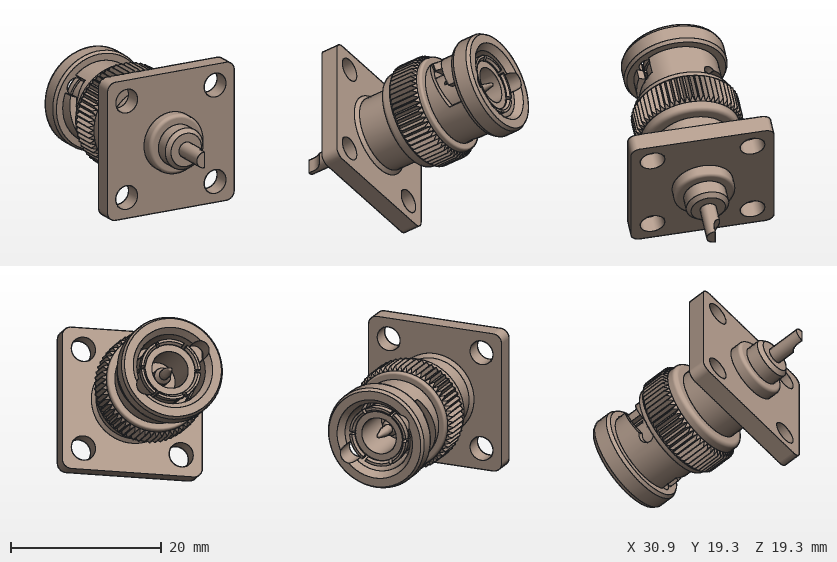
import cadquery as cq
import math


total_length = 30.9
flange_side = 19.3
flange_start = 19.55
flange_end = 22.0
flange_corner_radius = 1.25
mount_hole_diameter = 3.3
mount_hole_offset = 6.75
neck_diameter = 10.32
neck_flare = 0.5
boss_diameter = 8.22
boss_end = 23.7
boss_fillet = 0.45
insulator_diameter = 5.75
insulator_end = 26.1
insulator_chamfer = 0.55
terminal_diameter = 2.2
terminal_flat_y = 0.05
terminal_flat_start = 30.13
terminal_scoop_radius = 1.82

plug_start = 8.65
sleeve_diameter = 7.6
sleeve_lip_diameter = 8.15
sleeve_lip_end = 1.85
sleeve_start = 0.93
sleeve_mouth_diameter = 7.48
sleeve_cone_end = 1.25
insulator_face = 1.4
sleeve_bore_diameter = 6.85
slit_count = 6
slit_width = 0.45
slit_end = 6.18
socket_diameter = 5.0
socket_end = 7.72
pin_start = 1.08
pin_tip_diameter = 0.53
pin_diameter = 1.3
pin_taper_end = 3.15
pin_base_diameter = 2.22
pin_shoulder_start = 4.33
pin_shoulder_end = 4.95

rim_diameter = 13.9
rim_length = 3.03
rim_chamfer_length = 0.5
rim_chamfer_depth = 0.28
barrel_diameter = 11.43
nut_bore_diameter = 9.45
nut_mouth_diameter = 10.95
nut_mouth_depth = 0.93
collar_diameter = 13.38
collar_start = 7.97
collar_front_fillet = 0.3
nut_end = 14.55
collar_rear_fillet = 0.62
knurl_diameter = 14.5
knurl_start = 8.7
knurl_end = 13.13
tooth_count = 60
tooth_land = 0.05

slot_count = 2
slot_entry_angle = 144.5
slot_half_angle = 13.9
slot_straight_end = 4.48
slot_width_along_axis = 1.75
slot_twist_rate = 36.25
slot_stop_angle = 218.6
entry_groove_diameter = 2.5
entry_groove_radius = 4.6
latch_hole_diameter = 2.1
latch_hole_x = 6.9
latch_hole_angle = 226.6


def revolved(profile):
    """Solid of revolution about X from a workplane holding a closed (x, radius) outline."""
    return profile.close().revolve(360, (0, 0, 0), (1, 0, 0))


def cylinder(start, end, diameter):
    return cq.Workplane("YZ", origin=(start, 0, 0)).circle(diameter / 2).extrude(end - start)


def about_axis(shape, angle):
    return shape.rotate((0, 0, 0), (1, 0, 0), angle)


def polar(radius, angle):
    return (radius * math.cos(math.radians(angle)), radius * math.sin(math.radians(angle)))


def flange():
    plate = (
        cq.Workplane("YZ", origin=(flange_start, 0, 0))
        .rect(flange_side, flange_side)
        .extrude(flange_end - flange_start)
        .edges("|X")
        .fillet(flange_corner_radius)
    )
    holes = (
        cq.Workplane("YZ", origin=(flange_start, 0, 0))
        .rect(2 * mount_hole_offset, 2 * mount_hole_offset, forConstruction=True)
        .vertices()
        .circle(mount_hole_diameter / 2)
        .extrude(flange_end - flange_start)
    )
    return plate.cut(holes)


def front_stem():
    """Contact sleeve, plug seated in the nut, neck and its flare up to the flange."""
    neck_radius = neck_diameter / 2
    return revolved(
        cq.Workplane("XY")
        .moveTo(insulator_face, 0)
        .lineTo(insulator_face, sleeve_bore_diameter / 2)
        .lineTo(sleeve_cone_end, sleeve_bore_diameter / 2)
        .lineTo(sleeve_start, sleeve_mouth_diameter / 2)
        .lineTo(sleeve_start, sleeve_lip_diameter / 2)
        .lineTo(sleeve_lip_end, sleeve_lip_diameter / 2)
        .lineTo(sleeve_lip_end, sleeve_diameter / 2)
        .lineTo(plug_start, sleeve_diameter / 2)
        .lineTo(plug_start, nut_bore_diameter / 2)
        .lineTo(nut_end, nut_bore_diameter / 2)
        .lineTo(nut_end, neck_radius)
        .lineTo(flange_start - neck_flare, neck_radius)
        .lineTo(flange_start, neck_radius + neck_flare)
        .lineTo(flange_start, 0)
    )


def rear_stem():
    boss = cylinder(flange_end, boss_end, boss_diameter).faces(">X").edges().fillet(boss_fillet)
    insulator = (
        cylinder(boss_end, insulator_end, insulator_diameter)
        .faces(">X")
        .edges()
        .chamfer(insulator_chamfer)
    )
    return boss.union(insulator)


def terminal():
    """Solder terminal with its +Y half scooped away at the end."""
    scoop_center_y = terminal_flat_y + terminal_scoop_radius
    scoop = (
        cq.Workplane("XY")
        .center(terminal_flat_start, scoop_center_y)
        .circle(terminal_scoop_radius)
        .extrude(terminal_diameter, both=True)
    )
    flat_cut = cq.Workplane("XY").box(
        total_length - terminal_flat_start,
        terminal_diameter,
        terminal_diameter,
        centered=(False, False, True),
    ).translate((terminal_flat_start, terminal_flat_y, 0))
    return cylinder(insulator_end, total_length, terminal_diameter).cut(scoop).cut(flat_cut)


def sleeve_slits():
    """Equally spaced slits through the sleeve wall, stopping at the insulator."""
    slits = cq.Workplane("XY")
    for index in range(slit_count):
        slit = cq.Workplane("XY").box(
            slit_end - sleeve_start,
            sleeve_lip_diameter,
            slit_width,
            centered=(False, False, True),
        ).translate((sleeve_start, 0, 0))
        slits = slits.union(about_axis(slit, index * 360 / slit_count))
    return slits.cut(cylinder(sleeve_start, slit_end, sleeve_bore_diameter))


def center_pin():
    """Round-nosed tapered pin that widens towards the floor of the socket."""
    nose_radius = pin_tip_diameter / 2
    nose_center = pin_start + nose_radius
    nose_offset = nose_radius * math.sqrt(0.5)
    return revolved(
        cq.Workplane("XY")
        .moveTo(pin_start, 0)
        .threePointArc((nose_center - nose_offset, nose_offset), (nose_center, nose_radius))
        .lineTo(pin_taper_end, pin_diameter / 2)
        .lineTo(pin_shoulder_start, pin_diameter / 2)
        .lineTo(pin_shoulder_end, pin_base_diameter / 2)
        .lineTo(socket_end, pin_base_diameter / 2)
        .lineTo(socket_end, 0)
    )


def connector_body():
    """Body and its centre pin as one solid, with the pin standing on the socket floor."""
    socket = cylinder(insulator_face, socket_end, socket_diameter)
    solid = front_stem().union(flange()).union(rear_stem()).union(terminal())
    return solid.cut(sleeve_slits()).cut(socket).union(center_pin())


def nut_shell():
    rim_radius = rim_diameter / 2
    rim_face_radius = rim_radius - rim_chamfer_depth
    bore_radius = nut_bore_diameter / 2
    barrel = revolved(
        cq.Workplane("XY")
        .moveTo(0, nut_mouth_diameter / 2)
        .lineTo(0, rim_face_radius)
        .lineTo(rim_chamfer_length, rim_radius)
        .lineTo(rim_length - rim_chamfer_length, rim_radius)
        .lineTo(rim_length, rim_face_radius)
        .lineTo(rim_length, barrel_diameter / 2)
        .lineTo(nut_end, barrel_diameter / 2)
        .lineTo(nut_end, bore_radius)
        .lineTo(nut_mouth_depth, bore_radius)
    )
    collar = cylinder(collar_start, nut_end, collar_diameter)
    collar = collar.faces("<X").edges().fillet(collar_front_fillet)
    collar = collar.faces(">X").edges().fillet(collar_rear_fillet)
    return barrel.union(collar.cut(cylinder(collar_start, nut_end, nut_bore_diameter)))


def knurl():
    """Ring of V-shaped teeth, chamfered at both ends down to the collar."""
    pitch_angle = 360 / tooth_count
    tip_radius = knurl_diameter / 2
    land_half_angle = math.degrees(tooth_land / 2 / tip_radius)
    outline = []
    for index in range(tooth_count):
        root_angle = index * pitch_angle
        tip_angle = root_angle + pitch_angle / 2
        outline.append(polar(collar_diameter / 2, root_angle))
        outline.append(polar(tip_radius, tip_angle - land_half_angle))
        outline.append(polar(tip_radius, tip_angle + land_half_angle))
    length = knurl_end - knurl_start
    teeth = cq.Workplane("YZ", origin=(knurl_start, 0, 0)).polyline(outline).close().extrude(length)
    chamfer = (knurl_diameter - collar_diameter) / 2
    envelope = cylinder(knurl_start, knurl_end, knurl_diameter).edges().chamfer(chamfer)
    return teeth.intersect(envelope).cut(cylinder(knurl_start, knurl_end, barrel_diameter))


def sector(start, start_angle, end_angle):
    """Sketch of a ring sector that spans the barrel wall, on a plane at x = start."""
    inner = barrel_diameter / 4
    outer = rim_diameter / 2
    middle_angle = (start_angle + end_angle) / 2
    return (
        cq.Workplane("YZ", origin=(start, 0, 0))
        .moveTo(*polar(inner, start_angle))
        .lineTo(*polar(outer, start_angle))
        .threePointArc(polar(outer, middle_angle), polar(outer, end_angle))
        .lineTo(*polar(inner, end_angle))
        .threePointArc(polar(inner, middle_angle), polar(inner, start_angle))
        .close()
    )


def bayonet_slot():
    """Straight entry, helical ramp and round latch hole of one slot."""
    entry_first = slot_entry_angle - slot_half_angle
    entry_last = slot_entry_angle + slot_half_angle

    groove = (
        cq.Workplane("YZ")
        .center(*polar(entry_groove_radius, slot_entry_angle))
        .circle(entry_groove_diameter / 2)
        .extrude(rim_length)
    )
    entry = sector(rim_length, entry_first, entry_last).extrude(slot_straight_end - rim_length)

    ramp_first = entry_last - slot_width_along_axis * slot_twist_rate
    ramp_length = (slot_stop_angle - ramp_first) / slot_twist_rate
    ramp = sector(slot_straight_end, ramp_first, entry_last).twistExtrude(
        ramp_length, ramp_length * slot_twist_rate
    )
    wedge_radius = 2 * rim_diameter
    ramp_limits = (
        cq.Workplane("YZ")
        .polyline([(0, 0), polar(wedge_radius, entry_first), polar(wedge_radius, slot_stop_angle)])
        .close()
        .extrude(nut_end)
    )

    latch_hole = (
        cq.Workplane("XY", origin=(latch_hole_x, 0, 0))
        .circle(latch_hole_diameter / 2)
        .extrude(rim_diameter / 2)
    )
    latch_hole = about_axis(latch_hole, latch_hole_angle - 90)
    return groove.union(entry).union(ramp.intersect(ramp_limits)).union(latch_hole)


def coupling_nut():
    nut = nut_shell().union(knurl())
    slot = bayonet_slot()
    for index in range(slot_count):
        nut = nut.cut(about_axis(slot, index * 360 / slot_count))
    return nut


body = connector_body()
nut = coupling_nut()

result = cq.Compound.makeCompound([body.val(), nut.val()])